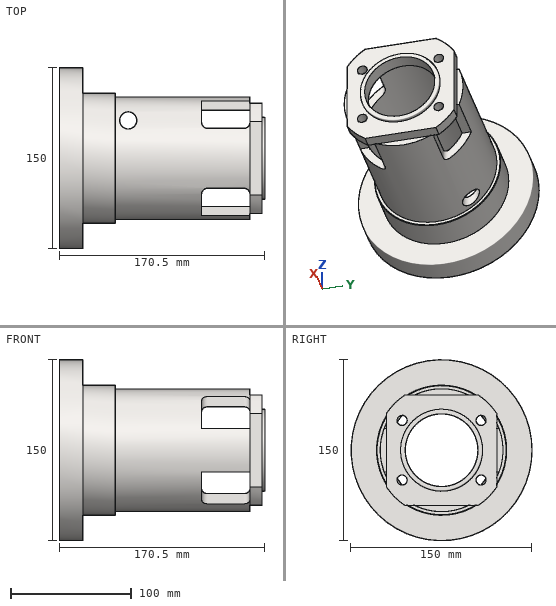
import cadquery as cq

entry_bore_end = 15.9
flange_end = 19.6
collar_end = 46.7
body_end = 157.9
plate_end = 168.0
rim_end = 170.5

flange_diameter = 150.0
collar_diameter = 108.0
body_diameter = 101.8
entry_bore_diameter = 87.0
bore_diameter = 87.3
plate_corner_diameter = 109.8
rim_diameter = 68.0
plate_bore_diameter = 60.0

plate_width = 91.5
flange_edge_fillet = 0.5
collar_edge_chamfer = 0.5
rim_edge_fillet = 0.9

window_start = 118.0
window_inner_y = 24.9
window_inner_z = 18.0
window_fillet = 5.0

bolt_hole_diameter = 8.2
bolt_y = 32.7
bolt_z = 24.7

cross_hole_diameter = 14.0
cross_hole_x = 57.1
cross_hole_y = 31.4


def cylinder(diameter, start, end):
    """Solid cylinder on the X axis between two stations."""
    return cq.Workplane("YZ", origin=(start, 0, 0)).circle(diameter / 2).extrude(end - start)


def end_plate():
    """Square plate with its corners trimmed to a circle."""
    thickness = plate_end - body_end
    square = cq.Workplane("YZ", origin=(body_end, 0, 0)).rect(plate_width, plate_width).extrude(thickness)
    return square.intersect(cylinder(plate_corner_diameter, body_end, plate_end))


def window(side_y, side_z):
    """Cutter that removes one quadrant's window, with rounded ends on its inner Y wall."""
    length = body_end - window_start
    reach = body_diameter / 2
    cutter = cq.Workplane("XY").box(length, reach, reach, centered=False)
    cutter = cutter.edges("|Z and <Y").fillet(window_fillet)
    cutter = cutter.translate((window_start, window_inner_y, window_inner_z))
    if side_y < 0:
        cutter = cutter.mirror("XZ")
    if side_z < 0:
        cutter = cutter.mirror("XY")
    return cutter


flange = cylinder(flange_diameter, 0, flange_end).edges().fillet(flange_edge_fillet)
collar = cylinder(collar_diameter, 0, collar_end).faces(">X").edges().chamfer(collar_edge_chamfer)
tube = flange.union(collar).union(cylinder(body_diameter, 0, body_end))
tube = tube.cut(cylinder(bore_diameter, entry_bore_end, body_end))
tube = tube.cut(cylinder(entry_bore_diameter, 0, entry_bore_end))

for side_y in (-1, 1):
    for side_z in (-1, 1):
        tube = tube.cut(window(side_y, side_z))

cross_hole = (
    cq.Workplane("XY")
    .center(cross_hole_x, cross_hole_y)
    .circle(cross_hole_diameter / 2)
    .extrude(body_diameter / 2, both=True)
)
tube = tube.cut(cross_hole)

rim = cylinder(rim_diameter, body_end, rim_end).faces(">X").edges().fillet(rim_edge_fillet)
plate = end_plate().union(rim).cut(cylinder(plate_bore_diameter, body_end, rim_end))
bolt_holes = (
    cq.Workplane("YZ", origin=(body_end, 0, 0))
    .rect(2 * bolt_y, 2 * bolt_z, forConstruction=True)
    .vertices()
    .circle(bolt_hole_diameter / 2)
    .extrude(plate_end - body_end)
)
plate = plate.cut(bolt_holes)

result = tube.union(plate)